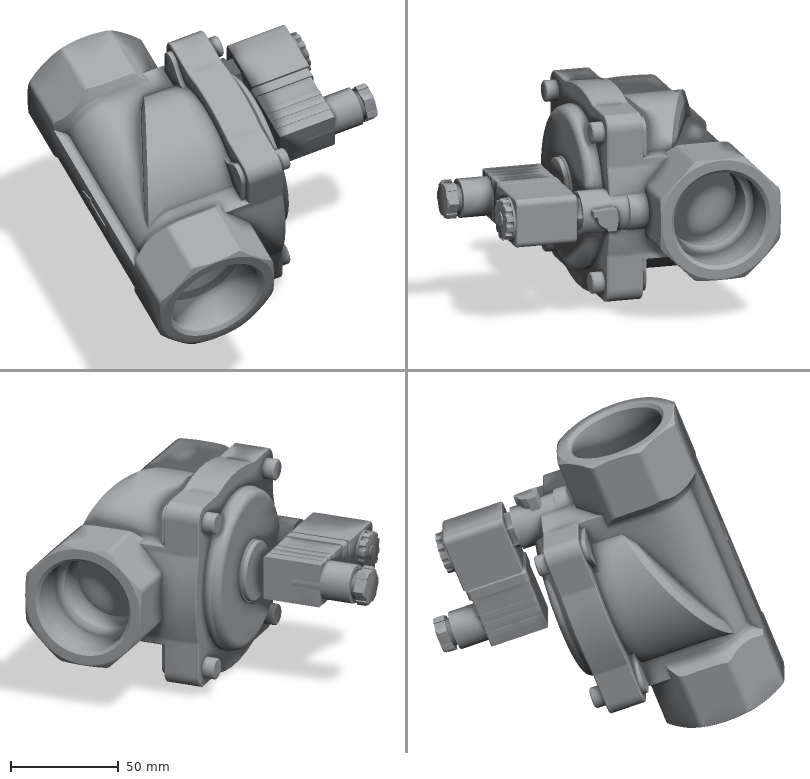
import cadquery as cq
import math

length = 145.6
octagon_flats = 58.2
octagon_edge_radius = 4.0
octagon_end_radius = 28.7
end_chamfer_angle = 30.0
pipe_half_width = 24.24
pipe_corner_radius = 19.2
flare_start = 38.9
flare_height = 7.5
flare_fillet = 4.4
flare_overlap = 1.5
rib_width = 15.9
thread_diameter = 44.8
thread_depth = 21.5
shoulder_angle = 30.0
mouth_diameter = 48.0
bore_diameter = 38.3
bore_depth = 39.3

flange_bottom = octagon_flats / 2
flange_split = 38.0
flange_top = 46.6
flange_half_side = 45.0
flange_corner_radius = 6.7
flange_bulge = 3.3
flange_bulge_radius = 69.2
flange_bulge_fillet = 5.1
flange_edge_chamfer = 0.5
neck_bottom = 16.5

chamber_radius = 40.6
chamber_floor_y = -4.2
chamber_floor_angle = 23.5
chamber_bevel_floor = 5.4
chamber_bevel_wall = 1.7

screw_offset = 36.3
screw_diameter = 6.0
screw_head_diameter = 10.0
screw_head_top = 52.4
screw_head_chamfer = 0.6
pad_thickness = 2.3
pad_radius = 5.7
pad_inner_edge = 33.8
pad_blend_radius = 5.8

arrow_height = 0.6
arrow_tip = -11.8
arrow_neck = -2.3
arrow_barb = -3.2
arrow_tail = 12.5
arrow_half_width = 3.5
arrow_shaft_half_width = 1.9

dome_radius = 38.7
dome_step_bottom = 49.0
dome_step_top = 50.5
dome_step = 0.6
dome_top = 54.2
cap_base_diameter = 29.7
cap_base_top = 55.3
cap_diameter = 28.7
cap_top = 57.5
cap_chamfer = 0.5

tube_x = -41.8
tube_diameter = 20.4
tube_top = 60.4
boss_x = -44.5
boss_diameter = 18.3
lever_x = -56.5

neck_hex_diameter = 18.5
coil_left = -53.1
coil_right = -25.0
coil_bottom = 63.8
coil_top = 93.2
coil_half_depth = 11.5
coil_corner_radius = 2.9
coil_edge_chamfer = 0.5
nut_base_diameter = 20.4
nut_base_top = 94.2
nut_diameter = 19.5
nut_top = 97.4
nut_flute_diameter = 2.5
nut_flutes = 12
stem_diameter = 6.8
stem_top = 98.0

gasket_right = -19.4
gasket_bottom = 62.6
gasket_top = 92.6
gasket_edge_radius = 2.0
gasket_chamfer = 1.0
plug_right = 6.4
plug_bottom = 63.2
plug_top = 91.5
plug_half_depth = 10.6
plug_edge_radius = 0.6
plug_rib_starts = (-10.6, -5.8, -1.0)
plug_rib_width = 2.5
plug_rib_height = 0.3
plug_rib_edge_radius = 1.3
gland_x = -2.6
gland_diameter = 18.3
gland_top = 106.0
gland_neck_diameter = 13.2
gland_neck_top = 108.3
gland_nut_diameter = 18.8
gland_nut_top = 113.7
gland_nut_groove_width = 3.8
gland_nut_groove_depth = 0.6
gland_nut_top_radius = 8.2

SIDES = (-1, 1)
CORNERS = [(sx, sz) for sx in SIDES for sz in SIDES]
QUARTER_TURNS = (0, 90, 180, 270)


def level(y, x=0.0, z=0.0):
    """Workplane facing +Y; its local axes are X and -Z."""
    return cq.Workplane(cq.Plane(origin=(x, y, z), xDir=(1, 0, 0), normal=(0, 1, 0)))


def disc(bottom, top, diameter, x=0.0, z=0.0):
    return level(bottom, x, z).circle(diameter / 2).extrude(top - bottom)


def block(x0, x1, y0, y1, half_depth):
    return cq.Workplane("XY").box(x1 - x0, y1 - y0, 2 * half_depth).translate(
        ((x0 + x1) / 2, (y0 + y1) / 2, 0)
    )


def turned(profile):
    """Solid of revolution about Y from (radius, y) points."""
    return cq.Workplane("XY").polyline(profile).close().revolve(360, (0, 0, 0), (0, 1, 0))


def flange_blank(bottom, top):
    """Rounded square with a shallow arc bulging out of each side."""
    height = top - bottom
    crest = flange_half_side + flange_bulge
    half_chord = math.sqrt(flange_bulge_radius**2 - (flange_bulge_radius - flange_bulge) ** 2)
    plate = level(bottom).rect(2 * flange_half_side, 2 * flange_half_side).extrude(height)
    plate = plate.edges("|Y").fillet(flange_corner_radius)
    bulge = (
        level(bottom)
        .moveTo(-half_chord, 0)
        .lineTo(-half_chord, flange_half_side)
        .threePointArc((0, crest), (half_chord, flange_half_side))
        .lineTo(half_chord, 0)
        .close()
        .extrude(height)
    )
    for turn in QUARTER_TURNS:
        plate = plate.union(bulge.rotate((0, 0, 0), (0, 1, 0), turn))
    roots = cq.selectors.BoxSelector
    for sx, sz in CORNERS:
        for x, z in ((half_chord, flange_half_side), (flange_half_side, half_chord)):
            low = (sx * x - 0.7, bottom - 1.5, sz * z - 0.7)
            high = (sx * x + 0.7, top + 1.5, sz * z + 0.7)
            plate = plate.edges("|Y").edges(roots(low, high)).fillet(flange_bulge_fillet)
    return plate


def octagon_ends():
    corner_diameter = octagon_flats / math.cos(math.pi / 8)
    prism = cq.Workplane("YZ").polygon(8, corner_diameter).extrude(length / 2, both=True)
    prism = prism.rotate((0, 0, 0), (1, 0, 0), 22.5).edges("|X").fillet(octagon_edge_radius)
    outer = corner_diameter / 2 + 1.5
    chamfer_run = (outer - octagon_end_radius) * math.tan(math.radians(end_chamfer_angle))
    envelope = (
        cq.Workplane("XY")
        .polyline([
            (-length / 2, 0),
            (-length / 2, octagon_end_radius),
            (-length / 2 + chamfer_run, outer),
            (length / 2 - chamfer_run, outer),
            (length / 2, octagon_end_radius),
            (length / 2, 0),
        ])
        .close()
        .revolve(360, (0, 0, 0), (1, 0, 0))
    )
    return prism.intersect(envelope)


def pipe_prism(start, end, growth=0.0):
    """Prism along X, flat sided, with rounded lower corners."""
    half = pipe_half_width + growth
    top = octagon_flats + growth
    return (
        cq.Workplane("YZ", origin=(start, 0, 0))
        .center((top - half) / 2, 0)
        .rect(top + half, 2 * half)
        .extrude(end - start)
        .edges("|X and <Y")
        .fillet(pipe_corner_radius + growth)
    )


def pipe_with_ends():
    flare = pipe_prism(flare_start - flare_overlap, length / 2, flare_height)
    flare = flare.faces("<X").chamfer(flare_height + flare_overlap)
    core = pipe_prism(-length / 2, length / 2)
    solid = core.union(flare).union(flare.mirror("YZ"))
    solid = solid.intersect(block(-length, length, -octagon_flats, flange_top, length))
    for side in SIDES:
        x = side * flare_start
        near = cq.selectors.BoxSelector((x - 0.1, -43.7, -43.7), (x + 0.1, 43.7, 43.7))
        solid = solid.edges(near).fillet(flare_fillet)
    rib_end = flare_start + flare_height
    rib = block(-rib_end, rib_end, -octagon_flats / 2, 0, rib_width / 2)
    return solid.union(rib).intersect(octagon_ends())


def chamber():
    """Upright cylinder closed by a sloping floor with a bevelled rim."""
    cylinder = disc(chamber_floor_y - chamber_radius, flange_bottom, 2 * chamber_radius)
    reach = 4 * chamber_radius
    below = cq.Workplane("XY").box(reach, reach, reach).translate((0, -reach / 2, 0))
    below = below.rotate((0, 0, 0), (0, 0, 1), -chamber_floor_angle).translate((0, chamber_floor_y, 0))
    return cylinder.cut(below).faces("<Y").edges().chamfer(chamber_bevel_wall, chamber_bevel_floor)


def pad():
    """Raised pad around the screw at +X, -Z local corner, blended toward the chamber."""
    diagonal = math.sqrt(0.5)
    outer = screw_offset + pad_radius
    shoulder = screw_offset + pad_radius * diagonal
    low = screw_offset - pad_radius * diagonal
    blend_top = pad_inner_edge + pad_blend_radius * (1 - diagonal)
    blend_x = low - (shoulder - blend_top)
    blend_end = blend_x - pad_blend_radius * diagonal
    middle = math.radians(22.5)
    blend_mid = (
        blend_end + pad_blend_radius * math.sin(middle),
        pad_inner_edge + pad_blend_radius * (1 - math.cos(middle)),
    )
    return (
        level(flange_bottom - pad_thickness)
        .moveTo(outer, 0)
        .lineTo(outer, screw_offset)
        .threePointArc((shoulder, shoulder), (screw_offset, outer))
        .threePointArc((screw_offset - pad_radius * math.sin(middle), screw_offset + pad_radius * math.cos(middle)),
                       (low, shoulder))
        .lineTo(blend_x, blend_top)
        .threePointArc(blend_mid, (blend_end, pad_inner_edge))
        .lineTo(0, pad_inner_edge)
        .lineTo(0, 0)
        .close()
        .extrude(pad_thickness)
    )


def arrow():
    upper = [
        (arrow_barb, arrow_half_width),
        (arrow_neck, arrow_shaft_half_width),
        (arrow_tail, arrow_shaft_half_width),
    ]
    lower = [(x, -z) for x, z in reversed(upper)]
    outline = [(arrow_tip, 0)] + upper + lower
    return level(-octagon_flats / 2 - arrow_height).polyline(outline).close().extrude(arrow_height)


def port():
    """Threaded mouth and narrower bore entering from -X."""
    lead = (mouth_diameter - thread_diameter) / 2
    shoulder = (thread_diameter - bore_diameter) / 2 * math.tan(math.radians(shoulder_angle))
    return (
        cq.Workplane("XY")
        .polyline([
            (-length / 2, 0),
            (-length / 2, mouth_diameter / 2),
            (-length / 2 + lead, thread_diameter / 2),
            (-length / 2 + thread_depth, thread_diameter / 2),
            (-length / 2 + thread_depth + shoulder, bore_diameter / 2),
            (-length / 2 + bore_depth, bore_diameter / 2),
            (-length / 2 + bore_depth, 0),
        ])
        .close()
        .revolve(360, (0, 0, 0), (1, 0, 0))
    )


def make_body():
    flange = flange_blank(flange_bottom, flange_split).faces("<Y").chamfer(flange_edge_chamfer)
    neck_slab = block(-length, length, neck_bottom, flange_split, pipe_half_width)
    neck = flange_blank(neck_bottom, flange_split).intersect(neck_slab)
    body = pipe_with_ends().union(neck).union(chamber()).union(flange)
    corner_pad = pad()
    for pads in (corner_pad, corner_pad.mirror("YZ")):
        body = body.union(pads).union(pads.mirror("XY"))
    body = body.union(disc(flange_bottom, flange_split, boss_diameter, boss_x)).union(arrow())
    body = body.cut(port()).cut(port().mirror("YZ"))
    for sx, sz in CORNERS:
        hole = disc(flange_bottom - pad_thickness, flange_split, screw_diameter,
                    sx * screw_offset, sz * screw_offset)
        body = body.cut(hole)
    return body


def dome():
    upper = dome_radius - dome_step
    rounding = dome_top - dome_step_top
    arc_inset = rounding * (1 - math.sqrt(0.5))
    wall = (
        cq.Workplane("XY")
        .moveTo(0, flange_top)
        .lineTo(dome_radius, flange_top)
        .lineTo(dome_radius, dome_step_bottom)
        .lineTo(upper, dome_step_top)
        .threePointArc((upper - arc_inset, dome_top - arc_inset), (upper - rounding, dome_top))
        .lineTo(0, dome_top)
        .close()
        .revolve(360, (0, 0, 0), (0, 1, 0))
    )
    cap = disc(cap_base_top, cap_top, cap_diameter).faces(">Y").chamfer(cap_chamfer)
    return wall.union(disc(dome_top, cap_base_top, cap_base_diameter)).union(cap)


def screw(x, z):
    shank = disc(flange_bottom - pad_thickness, flange_top, screw_diameter, x, z)
    head = disc(flange_top, screw_head_top, screw_head_diameter, x, z)
    return shank.union(head.faces(">Y").chamfer(screw_head_chamfer))


def lever():
    """Small hand lever on the -X side of the pilot tube."""
    return (
        cq.Workplane("YZ", origin=(lever_x, 0, 0))
        .moveTo(56.6, 1.5)
        .lineTo(56.6, 3.8)
        .lineTo(49.8, 4.5)
        .lineTo(45.5, 4.5)
        .threePointArc((44.8, -0.5), (45.7, -5.8))
        .lineTo(50.0, -5.8)
        .lineTo(50.1, -4.5)
        .threePointArc((53.0, -3.0), (54.5, -1.3))
        .lineTo(54.7, 1.2)
        .close()
        .extrude(tube_x - lever_x)
    )


def make_cover():
    cover = flange_blank(flange_split, flange_top).faces(">Y").chamfer(flange_edge_chamfer)
    cover = cover.union(dome()).union(disc(flange_split, tube_top, tube_diameter, tube_x)).union(lever())
    for sx, sz in CORNERS:
        cover = cover.union(screw(sx * screw_offset, sz * screw_offset))
    return cover


def coil():
    box = block(coil_left, coil_right, coil_bottom, coil_top, coil_half_depth)
    box = box.edges("|Y and <X").fillet(coil_corner_radius)
    box = box.faces("<Y or >Y").chamfer(coil_edge_chamfer)
    stem_hex = level(tube_top, tube_x).polygon(6, neck_hex_diameter).extrude(coil_bottom - tube_top)
    nut = disc(nut_base_top, nut_top, nut_diameter, tube_x)
    flutes = (
        level(nut_base_top, tube_x)
        .polarArray(nut_diameter / 2, 0, 360, nut_flutes)
        .circle(nut_flute_diameter / 2)
        .extrude(nut_top - nut_base_top)
    )
    base = disc(coil_top, nut_base_top, nut_base_diameter, tube_x)
    stem = disc(nut_top, stem_top, stem_diameter, tube_x)
    return box.union(stem_hex).union(base).union(nut.cut(flutes)).union(stem)


def plug():
    gasket = block(coil_right, gasket_right, gasket_bottom, gasket_top, coil_half_depth)
    gasket = gasket.edges("|X").fillet(gasket_edge_radius).faces("<X").chamfer(gasket_chamfer)
    housing = block(gasket_right, plug_right, plug_bottom, plug_top, plug_half_depth)
    housing = housing.edges("|X").fillet(plug_edge_radius)
    for start in plug_rib_starts:
        rib = block(start, start + plug_rib_width, plug_bottom, plug_top + plug_rib_height,
                    plug_half_depth + plug_rib_height)
        housing = housing.union(rib.edges("|X").fillet(plug_rib_edge_radius))
    return gasket.union(housing)


def gland_nut():
    height = gland_nut_top - gland_neck_top
    flats = gland_nut_diameter * math.cos(math.pi / 6)
    nut = level(gland_neck_top).polygon(6, gland_nut_diameter).extrude(height)
    groove = level(gland_neck_top, 0, flats / 2).rect(gland_nut_groove_width, 2 * gland_nut_groove_depth)
    groove = groove.extrude(height)
    for side in range(6):
        nut = nut.cut(groove.rotate((0, 0, 0), (0, 1, 0), 60 * side))
    outer = gland_nut_diameter / 2
    envelope = turned([
        (0, gland_neck_top),
        (outer, gland_neck_top),
        (outer, gland_nut_top - (outer - gland_nut_top_radius)),
        (gland_nut_top_radius, gland_nut_top),
        (0, gland_nut_top),
    ])
    return nut.intersect(envelope).translate((gland_x, 0, 0))


def cable_gland():
    barrel = disc((plug_bottom + plug_top) / 2, gland_top, gland_diameter, gland_x)
    neck = disc(gland_top, gland_neck_top, gland_neck_diameter, gland_x)
    return barrel.union(neck).union(gland_nut())


def make_solenoid():
    return coil().union(plug()).union(cable_gland())


body = make_body()
cover = make_cover()
solenoid = make_solenoid()

result = cq.Compound.makeCompound([body.val(), cover.val(), solenoid.val()])